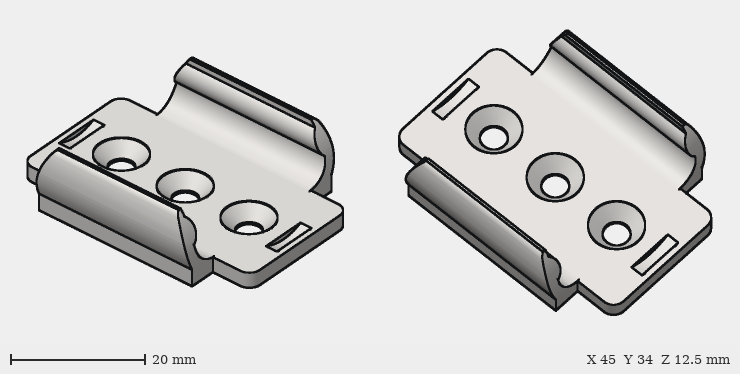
import cadquery as cq
import math

plate_length = 45.0
plate_width = 22.5
plate_thickness = 2.8
plate_corner_radius = 2.05

clip_length = 30.05
clip_base_width = 32.05
clip_base_height = 3.05
clip_max_width = 34.0
clip_widest_height = 7.2
clip_height = 12.3
clip_top_length = 23.85
shoulder_half_width = 16.2
shoulder_height = 11.5
lip_outer = 15.5
lip_inner = 15.0
lip_bottom_height = 11.15
bead_tip = 13.9
bead_tip_height = 9.05
cavity_radius = 4.05

hole_pitch = 12.5
hole_diameter = 4.2
sink_diameter = 8.55
sink_rim_depth = 0.2

pocket_inset = 1.12
pocket_width = 2.1
pocket_length = 7.9
pocket_depth = 0.9

pad_length = 14.15
pad_width = 4.15
pad_height = 0.2
pad_offset = 11.0


def make_plate():
    plate = cq.Workplane("XY").box(plate_length, plate_width, plate_thickness, centered=(True, True, False))
    return plate.edges("|Z").fillet(plate_corner_radius)


def make_clip():
    """Extrude the U-shaped section along X, then round off the wall ends."""
    base_half = clip_base_width / 2
    neck_height = plate_thickness + cavity_radius
    cavity_center = lip_inner - cavity_radius
    diagonal = cavity_radius * math.sqrt(0.5)
    half_section = (
        cq.Workplane("YZ")
        .moveTo(0, 0)
        .lineTo(base_half, 0)
        .lineTo(base_half, clip_base_height)
        .threePointArc((clip_max_width / 2, clip_widest_height), (shoulder_half_width, shoulder_height))
        .tangentArcPoint((lip_outer, clip_height), relative=False)
        .lineTo(lip_inner, clip_height)
        .lineTo(lip_inner, lip_bottom_height)
        .threePointArc((bead_tip, bead_tip_height), (lip_inner, neck_height))
        .threePointArc((cavity_center + diagonal, neck_height - diagonal), (cavity_center, plate_thickness))
        .lineTo(0, plate_thickness)
        .close()
        .extrude(clip_length / 2, both=True)
    )
    clip = half_section.union(half_section.mirror("XZ"))
    return clip.intersect(make_end_envelope())


def make_end_envelope():
    """Side outline of the clip: each end arc starts upright and leans inward."""
    half_length = clip_length / 2
    top_half = clip_top_length / 2
    half_envelope = (
        cq.Workplane("XZ")
        .moveTo(0, 0)
        .lineTo(half_length, 0)
        .lineTo(half_length, clip_base_height)
        .tangentArcPoint((top_half, clip_height), relative=False)
        .lineTo(0, clip_height)
        .close()
        .extrude(clip_max_width / 2, both=True)
    )
    return half_envelope.union(half_envelope.mirror("YZ"))


def make_screw_hole(x):
    """Through hole with a 90 degree countersink below a short straight rim."""
    hole_radius = hole_diameter / 2
    sink_radius = sink_diameter / 2
    cone_top = plate_thickness - sink_rim_depth
    cone_bottom = cone_top - (sink_radius - hole_radius)
    profile = [
        (0, -pad_height),
        (hole_radius, -pad_height),
        (hole_radius, cone_bottom),
        (sink_radius, cone_top),
        (sink_radius, plate_thickness),
        (0, plate_thickness),
    ]
    cutter = cq.Workplane("XZ").polyline(profile).close().revolve(360, (0, 0, 0), (0, 1, 0))
    return cutter.translate((x, 0, 0))


def make_pocket(side):
    """Pocket whose floor is a circular arc along Y."""
    half_length = pocket_length / 2
    x = side * (plate_length / 2 - pocket_inset - pocket_width / 2)
    return (
        cq.Workplane("YZ")
        .moveTo(-half_length, plate_thickness)
        .threePointArc((0, plate_thickness - pocket_depth), (half_length, plate_thickness))
        .close()
        .extrude(pocket_width / 2, both=True)
        .translate((x, 0, 0))
    )


def make_pad(side):
    pad = cq.Workplane("XY").box(pad_length, pad_width, pad_height, centered=(True, True, False))
    return pad.translate((0, side * pad_offset, -pad_height))


result = make_plate().union(make_clip())
for side in (-1, 1):
    result = result.union(make_pad(side)).cut(make_pocket(side))
for position in (-1, 0, 1):
    result = result.cut(make_screw_hole(position * hole_pitch))